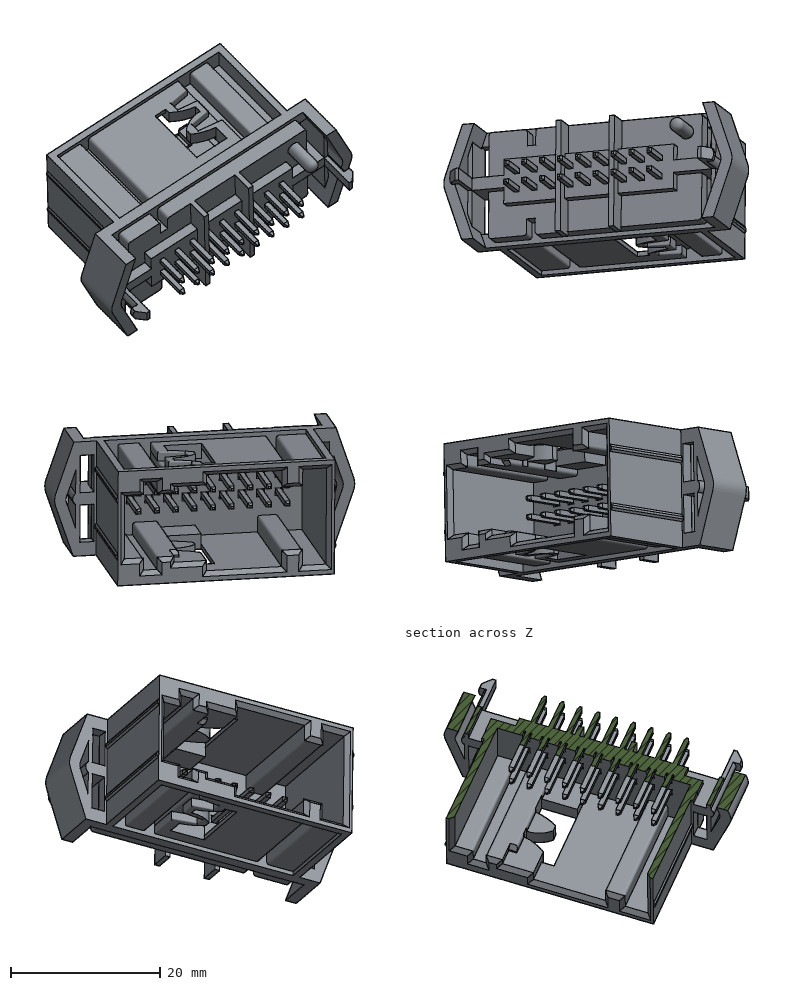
import cadquery as cq
import math

TILT = 1.3

SHROUD_HALF_Y = 14.8
HALF_Z = 8.0
WALL_LIP = 1.02
PLATE_FRONT = 14.45
PLATE_BACK = 16.0
INNER_HALF_Y = SHROUD_HALF_Y - WALL_LIP

CAVITY_FLOOR = 16.8
MOUTH_BEVEL = 0.6
RIB_Z = 4.43
STEP_Z = 5.3
NOTCH_Z = 6.15
CEILING_Z = 6.72
NOTCH_Y = (11.2, 9.35)
STEP_Y = (7.0, 2.6)
RIB_Y = (-7.7, -10.55)
RIB_ROUND = 0.4

RELIEF_Z = 5.1
TIER_Z = 6.15
LAND_Z = 7.4
LEDGE_Y = (11.9, 8.85)
TIER_EDGE_Y = 7.42
GROOVE_Y = (-8.53, -9.7)
LAND_ROUND = 0.33
POCKET_ROUND = 0.15
GROOVE_ROUND = 0.45

WINDOW_X = (3.7, 12.63)
WINDOW_Y = (0.8, 5.95)
TOOTH_TIP_Y = STEP_Y[1]
TOOTH_WAIST_Y = 3.77
LAND_EDGE_Y = 6.9
POCKET_END_Y = 3.8
FIRST_POCKET_MOUTH_X = (2.95, 5.15)
FIRST_POCKET_END_X = (3.35, 4.7)
SECOND_POCKET_MOUTH_X = (7.5, 9.75)
SECOND_POCKET_END_X = (7.87, 9.2)
FIRST_FLANK_X = (4.4, 5.12, 5.85)
SECOND_FLANK_X = (8.15, 7.3, 6.85)
THIRD_FLANK_X = (9.05, 9.68, 10.3)
GUIDE_Y = 5.85
GUIDE_FRONT = 2.95
GUIDE_BEVEL = 0.6

REAR_BACK = 18.12
REAR_HALF_Y = 15.15
WEB_BACK = 19.5
WEB_HALF_Z = 0.85
CONTACT_BLOCK_Y = (-12.5, 11.65)
CONTACT_BLOCK_HALF_Z = 3.08
FIN_CENTERS_Y = (3.35, -4.22)
FIN_THICKNESS = 0.75

EAR_ROOT_Y = 17.9
EAR_APEX_Y = 20.65
EAR_TIP_Y = 20.5
EAR_INNER_Y = 16.28
EAR_INNER_RADIUS = 1.65
EAR_BACK = 21.07
EAR_WINDOW_Y = (15.13, 17.0)
EAR_WINDOW_TOP = 6.05
POST_Y = (EAR_WINDOW_Y[1], 17.65)

HOOK_HALF_Z = 0.8
HOOK_INNER_Y = 17.0
HOOK_OUTER_Y = 18.05
HOOK_CROWN = 0.4
BARB_Y = 18.78
BARB_CROWN = 0.2
BARB_FRONT = 22.95
BARB_PEAK_BACK = 23.5
HOOK_TIP = 24.9
HOOK_TIP_Y = 17.5

PIN_COUNT = 9
PIN_PITCH = 2.55
PIN_CENTER_Y = -0.5
PIN_SIZE = 0.7
PIN_FRONT = 10.82
PIN_BACK = 24.2
PIN_TAPER = 0.5
PIN_TIP_SIZE = 0.3
WELL_SIZE = 1.05
WELL_DEPTH = 0.8

PEG_Y = 12.95
PEG_Z = 5.0
PEG_RADIUS = 0.965
PEG_END = 22.7
PEG_ROUND = 0.78
RIDGE_Z = 3.98
RIDGE_HEIGHT = 0.2
RIDGE_BASE_HALF = 0.5
RIDGE_TOP_HALF = 0.15
RIDGE_FRONT = 0.12


MARGIN = 0.05


def box_round(x, y, z):
    """Selector for edges whose centres lie within the given limits, plus a little slack."""
    low = [min(pair) - MARGIN for pair in (x, y, z)]
    high = [max(pair) + MARGIN for pair in (x, y, z)]
    return cq.selectors.BoxSelector(low, high)


def block(x, y, z):
    """Box between the given pairs of X, Y and Z limits."""
    size = [abs(b - a) for a, b in (x, y, z)]
    low = [min(pair) for pair in (x, y, z)]
    return cq.Workplane("XY").box(*size, centered=False).translate(tuple(low))


def both_faces(solid):
    """The solid together with its mirror image below the XY plane."""
    return solid.union(solid.mirror("XY"))


def both_ends(solid):
    """The solid together with its mirror image across the XZ plane."""
    return solid.union(solid.mirror("XZ"))


def plan(points, z_low, z_high):
    """Prism over an outline in X and Y."""
    return cq.Workplane("XY", origin=(0, 0, z_low)).polyline(points).close().extrude(z_high - z_low)


def make_land():
    """Raised outer land, its +Y edge scalloped by the two latch pockets."""
    outline = [
        (WALL_LIP, LAND_EDGE_Y),
        (FIRST_POCKET_MOUTH_X[0], LAND_EDGE_Y),
        (FIRST_POCKET_END_X[0], POCKET_END_Y),
        (FIRST_POCKET_END_X[1], POCKET_END_Y),
        (FIRST_POCKET_MOUTH_X[1], LAND_EDGE_Y),
        (SECOND_POCKET_MOUTH_X[0], LAND_EDGE_Y),
        (SECOND_POCKET_END_X[0], POCKET_END_Y),
        (SECOND_POCKET_END_X[1], POCKET_END_Y),
        (SECOND_POCKET_MOUTH_X[1], TIER_EDGE_Y),
        (PLATE_FRONT, TIER_EDGE_Y),
        (PLATE_FRONT, GROOVE_Y[0]),
        (WALL_LIP, GROOVE_Y[0]),
    ]
    land = plan(outline, TIER_Z, LAND_Z)
    scalloped = box_round((WALL_LIP, PLATE_FRONT), (POCKET_END_Y, TIER_EDGE_Y), (LAND_Z, LAND_Z))
    return land.edges(scalloped).fillet(POCKET_ROUND)


def make_relief():
    """Pocket in the upper outer face, less the ledges and lands standing in it."""
    run = (WALL_LIP, PLATE_FRONT)
    relief = block(run, (-INNER_HALF_Y, INNER_HALF_Y), (RELIEF_Z, HALF_Z))
    ledge = block(run, LEDGE_Y, (RELIEF_Z, LAND_Z)).edges("|X and >Z").fillet(LAND_ROUND)
    tier = block(run, (GROOVE_Y[0], TIER_EDGE_Y), (RELIEF_Z, TIER_Z))
    tier = tier.edges("|X and >Z and >Y").fillet(LAND_ROUND)
    end_ledge = block(run, (-INNER_HALF_Y, GROOVE_Y[1]), (RELIEF_Z, LAND_Z))
    end_ledge = end_ledge.edges("|X and >Z and >Y").fillet(GROOVE_ROUND)
    land = make_land().edges("|X and >Z and <Y").fillet(GROOVE_ROUND)
    return relief.cut(ledge).cut(tier).cut(end_ledge).cut(land)


def make_cavity():
    """Keyed cavity, symmetric about z = 0, with a bevelled mouth."""
    upper = [
        (INNER_HALF_Y, RIB_Z),
        (NOTCH_Y[0], RIB_Z),
        (NOTCH_Y[0], NOTCH_Z),
        (NOTCH_Y[1], NOTCH_Z),
        (NOTCH_Y[1], RIB_Z),
        (STEP_Y[0], RIB_Z),
        (STEP_Y[0], STEP_Z),
        (STEP_Y[1], STEP_Z),
        (STEP_Y[1], CEILING_Z),
        (RIB_Y[0], CEILING_Z),
        (RIB_Y[0], RIB_Z),
        (RIB_Y[1], RIB_Z),
        (RIB_Y[1], CEILING_Z),
        (-INNER_HALF_Y, CEILING_Z),
    ]
    outline = upper + [(y, -z) for y, z in reversed(upper)]
    plane = cq.Workplane("YZ", origin=(MOUTH_BEVEL, 0, 0))
    cavity = plane.polyline(outline).close().extrude(CAVITY_FLOOR - MOUTH_BEVEL)
    for y in (NOTCH_Y[0], NOTCH_Y[1], RIB_Y[0], RIB_Y[1]):
        for z in (RIB_Z, -RIB_Z):
            corner = box_round((MOUTH_BEVEL, CAVITY_FLOOR), (y, y), (z, z))
            cavity = cavity.edges(corner).fillet(RIB_ROUND)
    opening = cq.Wire.makePolygon([cq.Vector(0, y, z) for y, z in outline], close=True)
    opening = opening.offset2D(MOUTH_BEVEL, "intersection")[0]
    rim = cq.Wire.makePolygon([cq.Vector(MOUTH_BEVEL, y, z) for y, z in outline], close=True)
    mouth = cq.Workplane(cq.Solid.makeLoft([opening, rim], True))
    return cavity.union(mouth)


def make_window():
    """Latch window through both broad walls, its +Y side following the teeth."""
    return (
        cq.Workplane("XY", origin=(0, 0, -HALF_Z))
        .moveTo(WINDOW_X[0], WINDOW_Y[0])
        .lineTo(WINDOW_X[0], TOOTH_TIP_Y)
        .lineTo(FIRST_FLANK_X[0], TOOTH_TIP_Y)
        .threePointArc((FIRST_FLANK_X[1], TOOTH_WAIST_Y), (FIRST_FLANK_X[2], WINDOW_Y[1]))
        .lineTo(SECOND_FLANK_X[2], WINDOW_Y[1])
        .threePointArc((SECOND_FLANK_X[1], TOOTH_WAIST_Y), (SECOND_FLANK_X[0], TOOTH_TIP_Y))
        .lineTo(THIRD_FLANK_X[0], TOOTH_TIP_Y)
        .threePointArc((THIRD_FLANK_X[1], TOOTH_WAIST_Y), (THIRD_FLANK_X[2], WINDOW_Y[1]))
        .lineTo(WINDOW_X[1], WINDOW_Y[1])
        .lineTo(WINDOW_X[1], WINDOW_Y[0])
        .close()
        .extrude(2 * HALF_Z)
    )


def make_cavity_keys():
    """Guide beside the latch and the thick wall behind the window, inside the upper wall."""
    guide = block((GUIDE_FRONT, CAVITY_FLOOR), (GUIDE_Y, STEP_Y[0]), (RIB_Z, STEP_Z))
    guide = guide.edges("|Y and <X and <Z").chamfer(GUIDE_BEVEL)
    guide = guide.edges("|X and <Y and <Z").fillet(RIB_ROUND)
    backing = block((WINDOW_X[1], CAVITY_FLOOR), (WINDOW_Y[0], STEP_Y[1]), (STEP_Z, CEILING_Z))
    return guide.union(backing)


def make_rear_block():
    """Shroud continuation behind the plate, rounded at the corners and grooved."""
    rear = block((PLATE_FRONT, REAR_BACK), (-REAR_HALF_Y, REAR_HALF_Y), (-LAND_Z, LAND_Z))
    rear = rear.edges("|X").fillet(GROOVE_ROUND)
    groove = block((PLATE_BACK, REAR_BACK), GROOVE_Y, (RELIEF_Z, LAND_Z))
    rear = rear.cut(both_faces(groove))
    upper_rims = box_round((PLATE_BACK, REAR_BACK), GROOVE_Y, (LAND_Z, LAND_Z))
    lower_rims = box_round((PLATE_BACK, REAR_BACK), GROOVE_Y, (-LAND_Z, -LAND_Z))
    groove_rims = rear.edges(upper_rims + lower_rims).edges("|X")
    return groove_rims.fillet(GROOVE_ROUND)


def make_ridge(z):
    """Small bevelled ridge along the +Y side of the shroud."""
    return (
        cq.Workplane("YZ", origin=(RIDGE_FRONT, SHROUD_HALF_Y, z))
        .moveTo(0, -RIDGE_BASE_HALF)
        .lineTo(RIDGE_HEIGHT, -RIDGE_TOP_HALF)
        .lineTo(RIDGE_HEIGHT, RIDGE_TOP_HALF)
        .lineTo(0, RIDGE_BASE_HALF)
        .close()
        .extrude(PLATE_FRONT - RIDGE_FRONT)
    )


def ear_prism(root_y, apex_y, tip_radius):
    """Prism through the ear from the root line out to a rounded tip."""
    outline = [
        (INNER_HALF_Y, -HALF_Z),
        (root_y, -HALF_Z),
        (apex_y, 0),
        (root_y, HALF_Z),
        (INNER_HALF_Y, HALF_Z),
    ]
    prism = cq.Workplane("YZ", origin=(PLATE_FRONT, 0, 0)).polyline(outline).close()
    return prism.extrude(EAR_BACK - PLATE_FRONT).edges("|X and >Y").fillet(tip_radius)


def make_ear():
    """Ear on the +Y end: slanted wall with a rounded tip, and a post behind it."""
    side_rise = EAR_APEX_Y - EAR_ROOT_Y
    corner_loss = math.hypot(1, side_rise / HALF_Z) - 1
    outside = ear_prism(EAR_ROOT_Y, EAR_APEX_Y, (EAR_APEX_Y - EAR_TIP_Y) / corner_loss)
    inside = ear_prism(EAR_INNER_Y, EAR_INNER_Y + side_rise, EAR_INNER_RADIUS)
    post = block((PLATE_FRONT, WEB_BACK), POST_Y, (-EAR_WINDOW_TOP, EAR_WINDOW_TOP))
    return outside.cut(inside).union(post.intersect(outside))


def crowned_bar(outer_y, crown, x_start, x_end):
    """Bar along X whose outer face bulges in an arc."""
    return (
        cq.Workplane("YZ", origin=(x_start, 0, 0))
        .moveTo(HOOK_INNER_Y, -HOOK_HALF_Z)
        .lineTo(outer_y - crown, -HOOK_HALF_Z)
        .threePointArc((outer_y, 0), (outer_y - crown, HOOK_HALF_Z))
        .lineTo(HOOK_INNER_Y, HOOK_HALF_Z)
        .close()
        .extrude(x_end - x_start)
    )


def make_hook():
    """Snap hook on the +Y end: crowned arm with a sloped barb."""
    arm = crowned_bar(HOOK_OUTER_Y, HOOK_CROWN, PLATE_FRONT, BARB_FRONT)
    barb_outline = [
        (BARB_FRONT, HOOK_INNER_Y),
        (BARB_FRONT, BARB_Y),
        (BARB_PEAK_BACK, BARB_Y),
        (HOOK_TIP, HOOK_TIP_Y),
        (HOOK_TIP, HOOK_INNER_Y),
    ]
    barb = plan(barb_outline, -HOOK_HALF_Z, HOOK_HALF_Z)
    return arm.union(barb.intersect(crowned_bar(BARB_Y, BARB_CROWN, BARB_FRONT, HOOK_TIP)))


def make_pin(y, z):
    """Square contact with tapered ends."""
    point = cq.Workplane("YZ").rect(PIN_SIZE, PIN_SIZE).workplane(offset=PIN_TAPER)
    point = point.rect(PIN_TIP_SIZE, PIN_TIP_SIZE).loft(combine=True)
    shank_end = PIN_BACK - PIN_TAPER
    half = PIN_SIZE / 2
    shank = block((PIN_FRONT + PIN_TAPER, shank_end), (-half, half), (-half, half))
    tail = point.translate((shank_end, 0, 0))
    tip = point.mirror("YZ").translate((PIN_FRONT + PIN_TAPER, 0, 0))
    return shank.union(tail).union(tip).translate((0, y, z))


def make_peg():
    """Round locating peg with a domed end."""
    peg = cq.Workplane("YZ", origin=(REAR_BACK, PEG_Y, PEG_Z)).circle(PEG_RADIUS).extrude(PEG_END - REAR_BACK)
    return peg.faces(">X").edges().fillet(PEG_ROUND)


housing = block((0, PLATE_FRONT), (-SHROUD_HALF_Y, SHROUD_HALF_Y), (-HALF_Z, HALF_Z))
housing = housing.cut(both_faces(make_relief()))
housing = housing.union(block((PLATE_FRONT, PLATE_BACK), (-POST_Y[1], POST_Y[1]), (-HALF_Z, HALF_Z)))
housing = housing.union(block((PLATE_FRONT, WEB_BACK), (-POST_Y[1], POST_Y[1]), (-WEB_HALF_Z, WEB_HALF_Z)))
housing = housing.union(make_rear_block())
housing = housing.cut(make_cavity())
housing = housing.union(both_faces(make_cavity_keys()))
housing = housing.cut(make_window())

housing = housing.union(both_ends(make_ear()))
ear_window = block((PLATE_FRONT, PLATE_BACK), EAR_WINDOW_Y, (WEB_HALF_Z, EAR_WINDOW_TOP))
housing = housing.cut(both_ends(both_faces(ear_window)))
housing = housing.union(both_ends(both_faces(make_ridge(RIDGE_Z))))
housing = housing.union(both_ends(make_hook()))

contact_block = block(
    (REAR_BACK, WEB_BACK), CONTACT_BLOCK_Y, (-CONTACT_BLOCK_HALF_Z, CONTACT_BLOCK_HALF_Z)
)
housing = housing.union(contact_block).union(make_peg())
for fin_y in FIN_CENTERS_Y:
    fin_sides = (fin_y - FIN_THICKNESS / 2, fin_y + FIN_THICKNESS / 2)
    housing = housing.union(block((REAR_BACK, EAR_BACK), fin_sides, (-HALF_Z, LAND_Z)))

for column in range(PIN_COUNT):
    pin_y = PIN_CENTER_Y + (column - (PIN_COUNT - 1) / 2) * PIN_PITCH
    for pin_z in (-PIN_PITCH / 2, PIN_PITCH / 2):
        well = cq.Workplane("YZ", origin=(CAVITY_FLOOR, pin_y, pin_z)).rect(WELL_SIZE, WELL_SIZE)
        housing = housing.cut(well.extrude(WELL_DEPTH))
        housing = housing.union(make_pin(pin_y, pin_z))

result = housing.rotate((0, 0, 0), (0, 1, 0), -TILT)